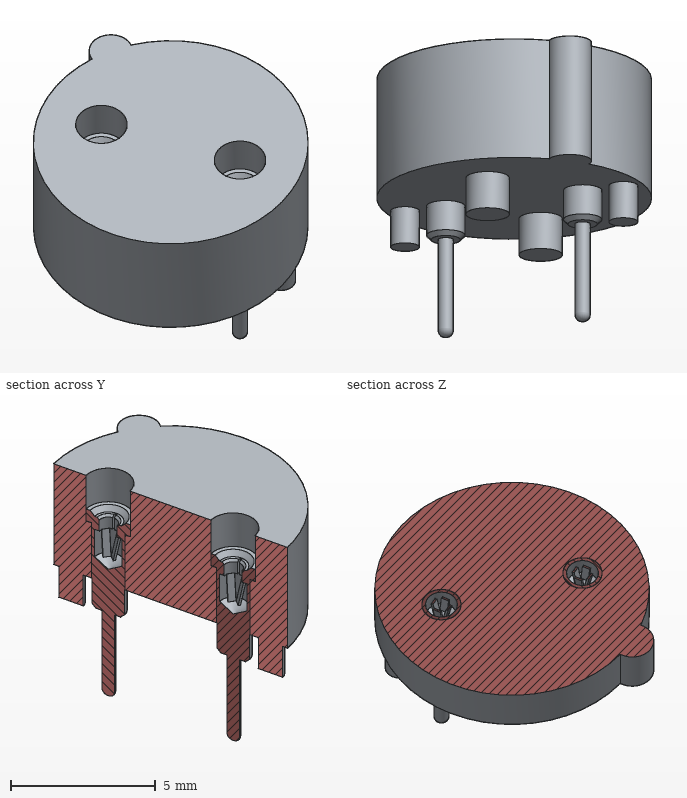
import cadquery as cq
import math

HOUSING_DIAMETER = 9.5
HOUSING_HEIGHT = 4.29
KEY_DIAMETER = 1.5
KEY_ANGLE = 135.0

FOOT_LENGTH = 1.31
WIDE_FOOT_DIAMETER = 1.5
NARROW_FOOT_DIAMETER = 1.0
NARROW_FOOT_OFFSET = 4.05

CONTACT_OFFSET = 2.54

PIN_RECESS = 1.425
HEAD_DIAMETER = 1.78
HEAD_HEIGHT = 0.5
BARREL_DIAMETER = 1.33
BARREL_PROTRUSION = 1.22
BARREL_CHAMFER = 0.16
TAIL_DIAMETER = 0.53
TAIL_ROUNDING = 0.25
TAIL_END_Z = -4.74

ENTRY_DIAMETER = 1.45
SLEEVE_OUTER_DIAMETER = 1.08
SLEEVE_INNER_DIAMETER = 0.88
SLEEVE_BORE_DIAMETER = 0.71
SLEEVE_LENGTH = 0.57
SLEEVE_SLOT_WIDTH = 0.07
FINGER_COUNT = 4
FINGER_WIDTH = 0.285
FINGER_THICKNESS = 0.09
FINGER_DROP = 1.045
DRILL_DEPTH = 1.9
DRILL_POINT_ANGLE = 118.0

PIN_TOP_Z = HOUSING_HEIGHT - PIN_RECESS
HEAD_BOTTOM_Z = PIN_TOP_Z - HEAD_HEIGHT
SLEEVE_TOP_Z = PIN_TOP_Z - (ENTRY_DIAMETER - SLEEVE_OUTER_DIAMETER) / 2
SLEEVE_BOTTOM_Z = SLEEVE_TOP_Z - SLEEVE_LENGTH
LEAD_IN_DEPTH = (SLEEVE_INNER_DIAMETER - SLEEVE_BORE_DIAMETER) / 2
DRILL_BOTTOM_Z = PIN_TOP_Z - DRILL_DEPTH
DRILL_TIP_Z = DRILL_BOTTOM_Z - SLEEVE_OUTER_DIAMETER / 2 / math.tan(math.radians(DRILL_POINT_ANGLE / 2))
PIN_CENTRES = [(-CONTACT_OFFSET, 0), (CONTACT_OFFSET, 0)]


def upright_cylinder(diameter, bottom_z, top_z, centres):
    """Equal vertical cylinders between two levels, one at each centre."""
    base = cq.Workplane("XY").workplane(offset=bottom_z).pushPoints(centres)
    return base.circle(diameter / 2).extrude(top_z - bottom_z)


def make_housing():
    """Round block with a key lobe, four feet and two stepped pin holes."""
    key_angle = math.radians(KEY_ANGLE)
    key_centre = (HOUSING_DIAMETER / 2 * math.cos(key_angle), HOUSING_DIAMETER / 2 * math.sin(key_angle))
    wide_feet = [(0, -CONTACT_OFFSET), (0, CONTACT_OFFSET)]
    narrow_feet = [(-NARROW_FOOT_OFFSET, 0), (NARROW_FOOT_OFFSET, 0)]

    block = upright_cylinder(HOUSING_DIAMETER, 0, HOUSING_HEIGHT, [(0, 0)])
    block = block.union(upright_cylinder(KEY_DIAMETER, 0, HOUSING_HEIGHT, [key_centre]))
    block = block.union(upright_cylinder(WIDE_FOOT_DIAMETER, -FOOT_LENGTH, 0, wide_feet))
    block = block.union(upright_cylinder(NARROW_FOOT_DIAMETER, -FOOT_LENGTH, 0, narrow_feet))

    block = block.cut(upright_cylinder(BARREL_DIAMETER, 0, HOUSING_HEIGHT, PIN_CENTRES))
    return block.cut(upright_cylinder(HEAD_DIAMETER, HEAD_BOTTOM_Z, HOUSING_HEIGHT, PIN_CENTRES))


def make_pin_outside():
    """Solid pin: head, chamfered barrel and a tail with a rounded end."""
    axis = [(0, 0)]
    head = upright_cylinder(HEAD_DIAMETER, HEAD_BOTTOM_Z, PIN_TOP_Z, axis)
    barrel = upright_cylinder(BARREL_DIAMETER, -BARREL_PROTRUSION, HEAD_BOTTOM_Z, axis)
    barrel = barrel.faces("<Z").chamfer(BARREL_CHAMFER)
    tail = upright_cylinder(TAIL_DIAMETER, TAIL_END_Z, -BARREL_PROTRUSION, axis)
    tail = tail.faces("<Z").edges().fillet(TAIL_ROUNDING)
    return head.union(barrel).union(tail)


def make_socket_cavity():
    """Revolved space inside the pin: entry cone, straight bore and drill point."""
    bore_radius = SLEEVE_OUTER_DIAMETER / 2
    profile = (
        cq.Workplane("XZ")
        .moveTo(0, PIN_TOP_Z)
        .lineTo(ENTRY_DIAMETER / 2, PIN_TOP_Z)
        .lineTo(bore_radius, SLEEVE_TOP_Z)
        .lineTo(bore_radius, DRILL_BOTTOM_Z)
        .lineTo(0, DRILL_TIP_Z)
        .close()
    )
    return profile.revolve(360, (0, 0), (0, 1))


def make_sleeve():
    """Contact sleeve lining the bore, with a lead-in cone and a lengthwise slot on its +Y side."""
    outer_radius = SLEEVE_OUTER_DIAMETER / 2
    bore_radius = SLEEVE_BORE_DIAMETER / 2
    profile = (
        cq.Workplane("XZ")
        .moveTo(outer_radius, SLEEVE_TOP_Z)
        .lineTo(SLEEVE_INNER_DIAMETER / 2, SLEEVE_TOP_Z)
        .lineTo(bore_radius, SLEEVE_TOP_Z - LEAD_IN_DEPTH)
        .lineTo(bore_radius, SLEEVE_BOTTOM_Z)
        .lineTo(outer_radius, SLEEVE_BOTTOM_Z)
        .close()
    )
    sleeve = profile.revolve(360, (0, 0), (0, 1))
    slot = cq.Workplane("XY").workplane(offset=SLEEVE_BOTTOM_Z)
    slot = slot.rect(SLEEVE_SLOT_WIDTH, SLEEVE_OUTER_DIAMETER, centered=(True, False))
    return sleeve.cut(slot.extrude(SLEEVE_LENGTH))


def make_spring_finger(angle):
    """Flat finger sloping down from the sleeve's lower end to one side of a square opening."""
    root_radius = SLEEVE_BORE_DIAMETER / 2
    tip_radius = FINGER_WIDTH / 2
    tip_z = SLEEVE_BOTTOM_Z - FINGER_DROP
    finger = (
        cq.Workplane("XZ")
        .moveTo(root_radius, SLEEVE_BOTTOM_Z)
        .lineTo(tip_radius, tip_z)
        .lineTo(tip_radius + FINGER_THICKNESS, tip_z)
        .lineTo(root_radius + FINGER_THICKNESS, SLEEVE_BOTTOM_Z)
        .close()
        .extrude(FINGER_WIDTH / 2, both=True)
    )
    return finger.rotate((0, 0, 0), (0, 0, 1), angle)


def make_pin(centre):
    """Complete socket pin standing at one centre."""
    pin = make_pin_outside().cut(make_socket_cavity()).union(make_sleeve())
    finger_pitch = 360 / FINGER_COUNT
    for index in range(FINGER_COUNT):
        pin = pin.union(make_spring_finger(finger_pitch * (index + 0.5)))
    return pin.translate((*centre, 0))


housing = make_housing()
pins = [make_pin(centre) for centre in PIN_CENTRES]

result = cq.Compound.makeCompound([housing.val(), *[pin.val() for pin in pins]])